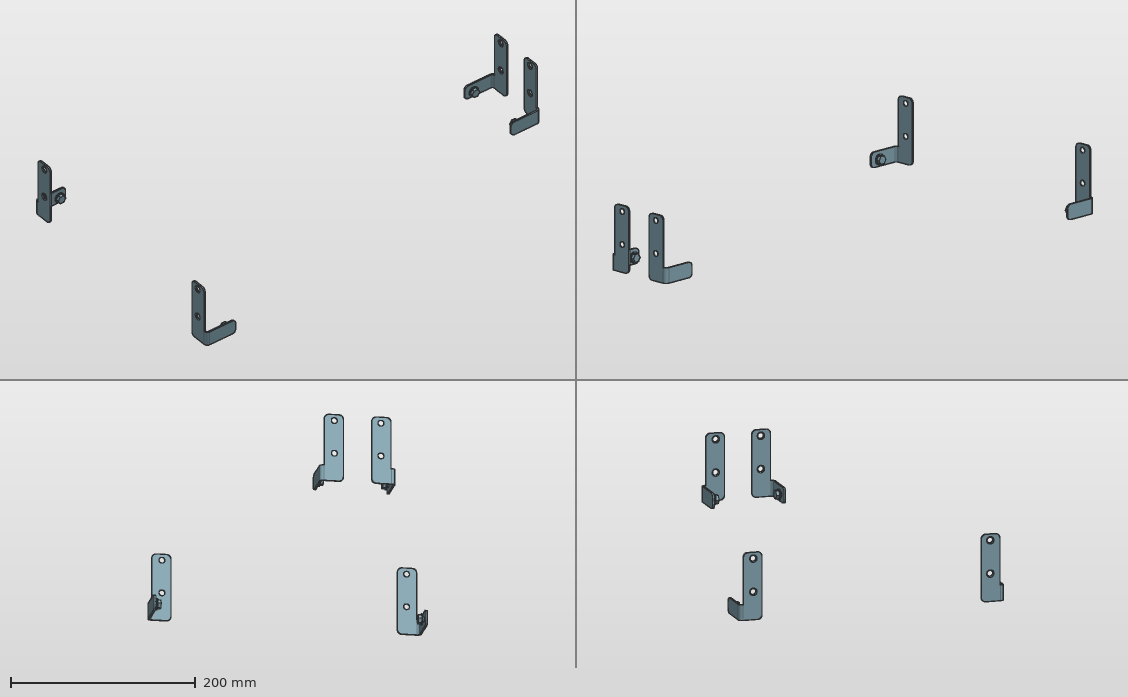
import cadquery as cq
import math

FRONT_SPAN = 301.5
REAR_SPAN = 83.0
DEPTH = 530.0
REAR_CENTRE_X = 18.5

THICKNESS = 2.0
BEND_RADIUS = 4.0
HEIGHT = 75.0
FLANGE_WIDTH = 26.0
ARM_LENGTH = 40.5
ARM_HEIGHT = 17.5
RELIEF = 5.0
CORNER_RADIUS = 5.0

HOLE_DIAMETER = 6.5
SINK_DIAMETER = 8.5
HOLE_X = 16.0
HOLE_TOP_GAP = 7.0
HOLE_PITCH = 37.0

STUD_FROM_END = 10.0
STUD_Z = ARM_HEIGHT / 2
NECK_DIAMETER = 6.0
NECK_LENGTH = 2.0
COLLAR_DIAMETER = 12.0
COLLAR_LENGTH = 1.0
HEAD_ACROSS_FLATS = 9.0
HEAD_ACROSS_CORNERS = HEAD_ACROSS_FLATS / math.cos(math.pi / 6)
HEAD_LENGTH = 3.5
HEAD_CHAMFER = 0.5


def bent_strip():
    """L-shaped sheet: plate along X at Y = 0, arm along Y at X = 0."""
    inner_radius = BEND_RADIUS - THICKNESS
    outer = cq.Workplane("XY").rect(FLANGE_WIDTH, ARM_LENGTH, centered=False).extrude(HEIGHT)
    outer = outer.edges("|Z and <X and <Y").fillet(BEND_RADIUS)
    inner = (
        cq.Workplane("XY")
        .moveTo(THICKNESS, THICKNESS)
        .rect(FLANGE_WIDTH, ARM_LENGTH, centered=False)
        .extrude(HEIGHT)
        .edges("|Z and <X and <Y")
        .fillet(inner_radius)
    )
    return outer.cut(inner)


def plate_outline():
    """Solid that trims the strip to a narrow tall plate and a low arm with rounded corners."""
    upright = (
        cq.Workplane("XZ")
        .moveTo(RELIEF, 0)
        .rect(FLANGE_WIDTH - RELIEF, HEIGHT, centered=False)
        .extrude(-ARM_LENGTH)
        .edges("|Y and (>Z or >X)")
        .fillet(CORNER_RADIUS)
    )
    arm = cq.Workplane("XY").rect(RELIEF, ARM_LENGTH, centered=False).extrude(ARM_HEIGHT)
    arm = arm.edges("|X and >Y").fillet(CORNER_RADIUS)
    return upright.union(arm)


def screw_holes(sunk_inside):
    """Through holes, each with a cone opening on the inner or the outer face of the plate."""
    sink_depth = (SINK_DIAMETER - HOLE_DIAMETER) / 2
    face_y, inward = (THICKNESS, -1) if sunk_inside else (0, 1)
    top_z = HEIGHT - HOLE_TOP_GAP
    holes = cq.Workplane("XY")
    for z in (top_z, top_z - HOLE_PITCH):
        bore = cq.Solid.makeCylinder(
            HOLE_DIAMETER / 2, THICKNESS, cq.Vector(HOLE_X, 0, z), cq.Vector(0, 1, 0)
        )
        sink = cq.Solid.makeCone(
            SINK_DIAMETER / 2, HOLE_DIAMETER / 2, sink_depth,
            cq.Vector(HOLE_X, face_y, z), cq.Vector(0, inward, 0),
        )
        holes = holes.add(bore.fuse(sink))
    return holes.combine()


def hex_head():
    """Hexagon along +X with its corners at +Y and -Y, the corners of its collar end bevelled."""
    hexagon = cq.Workplane("YZ").polygon(6, HEAD_ACROSS_CORNERS).extrude(HEAD_LENGTH)
    bevel = (
        cq.Workplane("YZ")
        .circle(HEAD_ACROSS_CORNERS / 2)
        .extrude(HEAD_LENGTH)
        .faces("<X")
        .chamfer(HEAD_CHAMFER)
    )
    return hexagon.intersect(bevel)


def stud():
    """Neck, collar and head, growing along +X from the inner face of the arm."""
    shank = (
        cq.Workplane("YZ")
        .circle(NECK_DIAMETER / 2)
        .extrude(NECK_LENGTH)
        .faces(">X")
        .workplane()
        .circle(COLLAR_DIAMETER / 2)
        .extrude(COLLAR_LENGTH)
    )
    head = hex_head().translate((NECK_LENGTH + COLLAR_LENGTH, 0, 0))
    return shank.union(head).translate((THICKNESS, ARM_LENGTH - STUD_FROM_END, STUD_Z))


def bracket(sunk_inside):
    """Left front bracket, with its outer bend corner at the origin."""
    sheet = bent_strip().intersect(plate_outline())
    return sheet.cut(screw_holes(sunk_inside)).union(stud())


def bracket_pair(span, centre_x, y, rear):
    """Left bracket and its mirror image; the rear ones are mirrored to face the front ones."""
    left = bracket(sunk_inside=rear)
    if rear:
        left = left.mirror("XZ")
    right = left.mirror("YZ")
    return [
        left.translate((centre_x - span / 2, y, 0)).val(),
        right.translate((centre_x + span / 2, y, 0)).val(),
    ]


front_pair = bracket_pair(FRONT_SPAN, 0, -DEPTH / 2, rear=False)
rear_pair = bracket_pair(REAR_SPAN, REAR_CENTRE_X, DEPTH / 2, rear=True)
result = cq.Compound.makeCompound([*front_pair, *rear_pair])